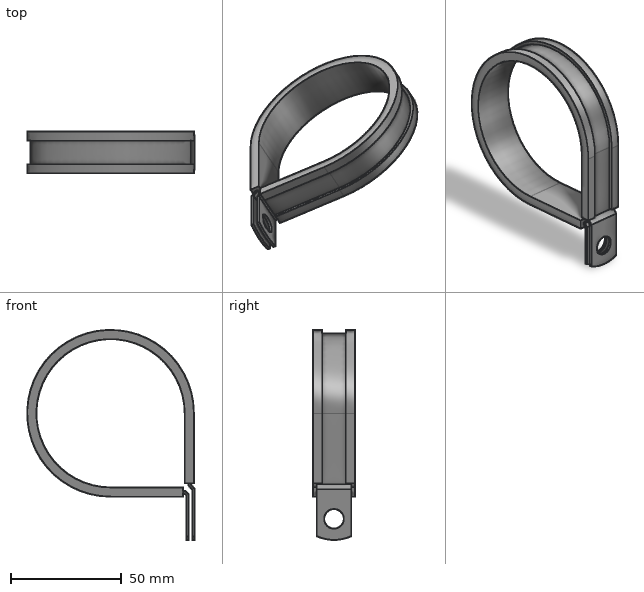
import cadquery as cq
import math


outer_radius = 37.6
cushion_thickness = 4.3
cushion_width = 18.9
side_end_z = -31.5
bottom_end_x = 32.7

groove_depth = 1.5
groove_width = 10.6

band_thickness = 1.1
band_width = 15.6
tab_bottom_z = outer_radius - 94.7
outer_tab_offset = 1.9
outer_bend_drop = 0.6
outer_bend_height = 2.3
inner_bend_run = 0.8
inner_tab_x = 34.6
tab_end_sagitta = 1.7
hole_diameter = 8.7
hole_height = 9.6
cut_length = 3 * outer_radius

band_outer_radius = outer_radius - groove_depth
band_middle_radius = band_outer_radius - band_thickness / 2


def loop_profile(radius):
    """Closed teardrop: three quarters of a circle with two tangent straight legs."""
    diagonal = radius * math.sqrt(0.5)
    return (
        cq.Workplane("XZ")
        .moveTo(radius, 0)
        .threePointArc((-diagonal, diagonal), (0, -radius))
        .lineTo(radius, -radius)
        .close()
    )


def centred_prism(profile, width):
    return profile.extrude(width / 2, both=True)


def loop_shell(outside, inside, width):
    return centred_prism(loop_profile(outside), width).cut(centred_prism(loop_profile(inside), width))


def make_cushion():
    cushion = loop_shell(outer_radius, outer_radius - cushion_thickness, cushion_width)
    groove = loop_shell(outer_radius, band_outer_radius, groove_width)
    below_side_leg = cq.Workplane("XY").box(
        outer_radius, cushion_width, outer_radius, centered=(False, True, False)
    ).translate((bottom_end_x, 0, side_end_z - outer_radius))
    return cushion.cut(groove).cut(below_side_leg)


def bent_strip(path):
    """Sheet strip of constant thickness whose middle line follows the (x, z) path."""
    left, right = [], []
    angles = [math.atan2(b[1] - a[1], b[0] - a[0]) for a, b in zip(path, path[1:])]
    for point, before, after in zip(path, angles[:1] + angles, angles + angles[-1:]):
        normal = (before + after) / 2 + math.pi / 2
        reach = band_thickness / 2 / math.cos((after - before) / 2)
        step_x = reach * math.cos(normal)
        step_z = reach * math.sin(normal)
        left.append((point[0] + step_x, point[1] + step_z))
        right.append((point[0] - step_x, point[1] - step_z))
    return centred_prism(cq.Workplane("XZ").polyline(left + right[::-1]).close(), band_width)


def make_tabs():
    embed = 0.9
    outer_bend_z = side_end_z - outer_bend_drop
    outer_tab_x = band_middle_radius + outer_tab_offset
    outer_path = [
        (band_middle_radius, side_end_z + embed),
        (band_middle_radius, outer_bend_z),
        (outer_tab_x, outer_bend_z - outer_bend_height),
        (outer_tab_x, tab_bottom_z),
    ]
    inner_bend_x = bottom_end_x + inner_bend_run
    inner_path = [
        (bottom_end_x - embed, -band_middle_radius),
        (inner_bend_x, -band_middle_radius),
        (inner_tab_x, -band_middle_radius - (inner_tab_x - inner_bend_x)),
        (inner_tab_x, tab_bottom_z),
    ]
    half_width = band_width / 2
    corner_z = tab_bottom_z + tab_end_sagitta
    outline = (
        cq.Workplane("YZ")
        .moveTo(-half_width, 0)
        .lineTo(-half_width, corner_z)
        .threePointArc((0, tab_bottom_z), (half_width, corner_z))
        .lineTo(half_width, 0)
        .close()
        .extrude(cut_length)
    )
    hole = (
        cq.Workplane("YZ")
        .center(0, tab_bottom_z + hole_height)
        .circle(hole_diameter / 2)
        .extrude(cut_length)
    )
    return [bent_strip(path).intersect(outline).cut(hole) for path in (outer_path, inner_path)]


def make_clamp():
    clamp = make_cushion()
    for tab in make_tabs():
        clamp = clamp.union(tab)
    return clamp


result = make_clamp()